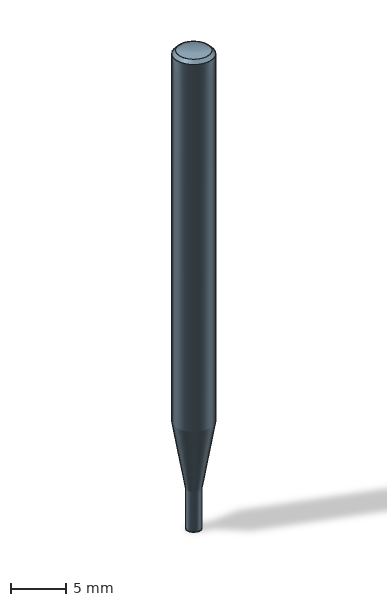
import cadquery as cq

total_length = 50.0
shank_diameter = 4.0
tip_diameter = 1.5
tip_length = 4.2
cone_length = 7.0
end_chamfer = 0.35

shank_radius = shank_diameter / 2
tip_radius = tip_diameter / 2
shank_start = tip_length + cone_length

profile = (
    cq.Workplane("XZ")
    .moveTo(0, 0)
    .lineTo(tip_radius, 0)
    .lineTo(tip_radius, tip_length)
    .lineTo(shank_radius, shank_start)
    .lineTo(shank_radius, total_length - end_chamfer)
    .lineTo(shank_radius - end_chamfer, total_length)
    .lineTo(0, total_length)
    .close()
)

result = profile.revolve(360, (0, 0, 0), (0, 1, 0))